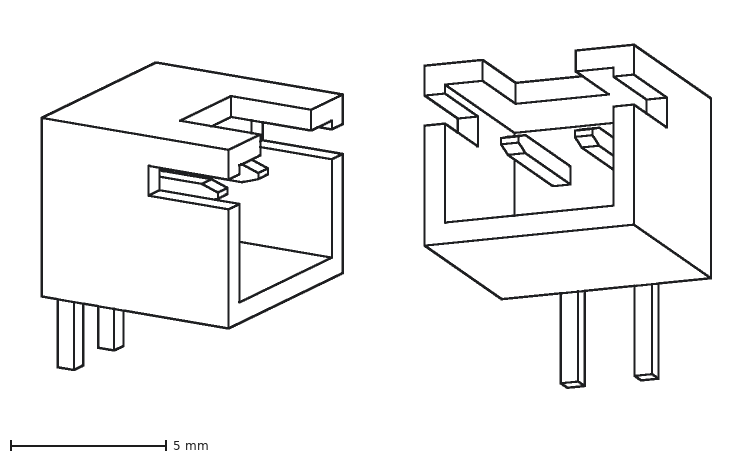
import cadquery as cq

total_length = 7.6
housing_width = 7.2
total_height = 9.0

pin_size = 0.6
housing_length = total_length - pin_size
housing_height = 6.0
wall = 0.7

opening_depth = 3.0
notch_width = 3.2
slot_height = 1.0
slot_top_drop = 1.0

pin_pitch = 2.54
pin_top = 4.0
pin_tip_setback = 1.6
tip_chamfer_length = 0.6
tip_chamfer_drop = 0.2

opening_start = housing_length - opening_depth
pin_tip = housing_length - pin_tip_setback
pin_foot = housing_height - total_height


def box(x_range, width, z_range):
    """Box centred on Y = 0 between the given X and Z limits."""
    length = x_range[1] - x_range[0]
    height = z_range[1] - z_range[0]
    return (
        cq.Workplane("XY")
        .box(length, width, height, centered=(False, True, False))
        .translate((x_range[0], 0, z_range[0]))
    )


def make_housing():
    """Shell with a notch in its top wall and a slot in each side wall."""
    body = box((0, housing_length), housing_width, (0, housing_height))
    cavity = box((wall, housing_length), housing_width - 2 * wall, (wall, housing_height - wall))
    notch = box((opening_start, housing_length), notch_width, (housing_height - wall, housing_height))
    slot_top = housing_height - slot_top_drop
    slots = box((opening_start, housing_length), housing_width, (slot_top - slot_height, slot_top))
    return body.cut(cavity).cut(notch).cut(slots)


def make_pin(y_center):
    """Bent square pin with a rounded outer bend and a chamfered tip."""
    pin_bottom = pin_top - pin_size
    bend_radius = pin_size
    mid_arc = bend_radius * 0.5 ** 0.5
    return (
        cq.Workplane("XZ")
        .moveTo(-pin_size, pin_foot)
        .lineTo(-pin_size, pin_bottom)
        .threePointArc((-mid_arc, pin_bottom + mid_arc), (0, pin_top))
        .lineTo(pin_tip - tip_chamfer_length, pin_top)
        .lineTo(pin_tip, pin_top - tip_chamfer_drop)
        .lineTo(pin_tip, pin_bottom + tip_chamfer_drop)
        .lineTo(pin_tip - tip_chamfer_length, pin_bottom)
        .lineTo(0, pin_bottom)
        .lineTo(0, pin_foot)
        .close()
        .extrude(pin_size / 2, both=True)
        .translate((0, y_center, 0))
    )


result = make_housing()
for side in (-1, 1):
    result = result.union(make_pin(side * pin_pitch / 2))